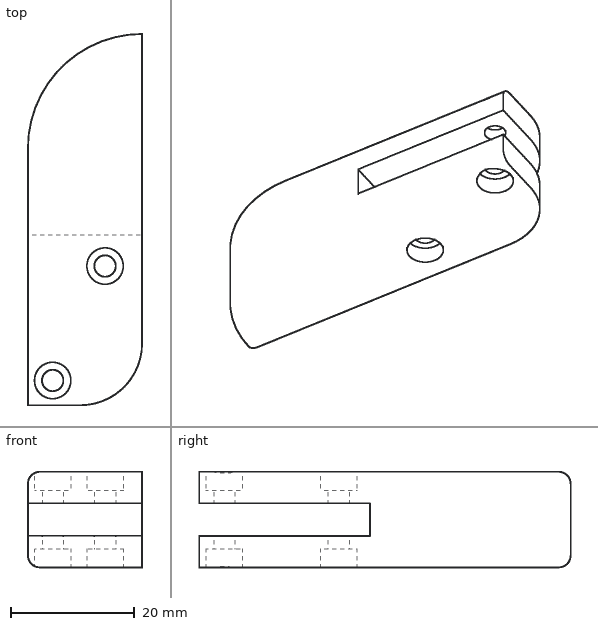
import cadquery as cq
import math

length = 60.0
width = 18.5
height = 15.5

nose_radius = width
heel_radius = 10.0
edge_radius = 2.0

slot_length = 27.55
slot_height = 5.2

hole_diameter = 3.4
counterbore_diameter = 5.9
counterbore_depth = 3.0
corner_inset = 4.0
hole_centers = [(corner_inset, corner_inset), (12.5, 22.5)]


def make_outline():
    """Plan outline, starting at the square corner and running counterclockwise."""
    diagonal = math.sqrt(0.5)
    heel_mid = (
        width - heel_radius * (1 - diagonal),
        heel_radius * (1 - diagonal),
    )
    nose_mid = (
        width - nose_radius * diagonal,
        length - nose_radius * (1 - diagonal),
    )
    return (
        cq.Workplane("XY", origin=(0, 0, -height / 2))
        .lineTo(width - heel_radius, 0)
        .threePointArc(heel_mid, (width, heel_radius))
        .lineTo(width, length)
        .threePointArc(nose_mid, (0, length - nose_radius))
        .close()
    )


def make_rounded_body():
    """Plate whose long side and nose are rounded on the top and bottom faces."""
    plate = make_outline().extrude(height)
    side_rims = plate.faces("<X").edges("|Y")
    nose_rims = plate.edges("%CIRCLE").edges(">Y")
    return plate.newObject(side_rims.vals() + nose_rims.vals()).fillet(edge_radius)


def make_slot():
    """Full-width slot, open at the square end."""
    return cq.Workplane("XY").box(width, slot_length, slot_height, centered=(False, False, True))


def make_screw_hole(center):
    """Through hole with a counterbore at each face."""
    hole = cq.Workplane("XY").center(*center).circle(hole_diameter / 2).extrude(height, both=True)
    counterbore = (
        cq.Workplane("XY", origin=(0, 0, height / 2 - counterbore_depth))
        .center(*center)
        .circle(counterbore_diameter / 2)
        .extrude(counterbore_depth)
    )
    return hole.union(counterbore).union(counterbore.mirror("XY"))


result = make_rounded_body().cut(make_slot())
for hole_center in hole_centers:
    result = result.cut(make_screw_hole(hole_center))